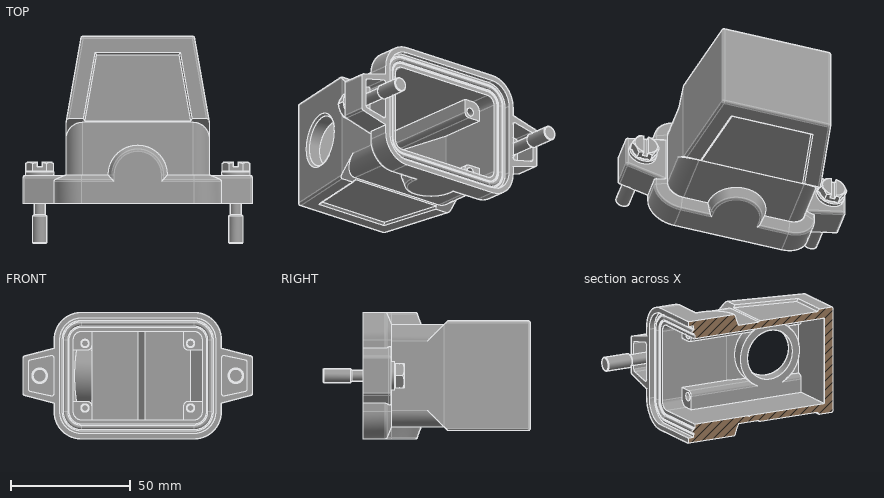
import math

import cadquery as cq


flange_width = 70.0
flange_height = 53.0
flange_corner_radius = 11.5
flange_rim_y = 9.9
flange_top_y = 12.0
flange_edge_fillet = 1.0

body_inset = 5.0
body_width = flange_width - 2 * body_inset
body_height = flange_height - 2 * body_inset
body_corner_radius = 7.0

hood_depth = 70.0
head_height = 46.0
taper_start_y = 34.0
taper_angle = 10.0
head_edge_radius = 1.0
taper_slope = math.tan(math.radians(taper_angle))
head_step = (head_height - body_height) / 2
head_lower_y = taper_start_y + head_step

panel_depth = 1.0
panel_top_y = 63.2
panel_side_margin = 7.0
panel_side_run = 0.8

boss_radius = 12.4
boss_y = flange_top_y
boss_draft = 20.0
boss_edge_fillet = 1.0
boss_root_y = 5.0

recess_inset = 2.35
ledge_y = 2.5
shelf_y = 3.1
gasket_inset = 3.4
gasket_width = 2.9
gasket_thickness = 0.45
gasket_face_y = shelf_y - gasket_thickness
bead_radius = 0.9
bead_inset = gasket_inset + gasket_width / 2

cavity_inset = 8.0
cavity_half_width = flange_width / 2 - cavity_inset
cavity_height = flange_height - 2 * cavity_inset
deep_floor_y = 65.5
floor_step = 3.1
shallow_floor_y = deep_floor_y - floor_step

post_size = 7.8
post_face_y = 12.5
post_corner_radius = 2.0
post_hole_x = 22.05
post_hole_z = 13.5
post_hole_end = 2.8
post_hole_mouth = 3.5
post_hole_depth = 10.0

entry_y = 51.8
entry_radius = 10.6
entry_chamfer = 1.0
sleeve_radius = 14.0
sleeve_end_x = -(cavity_half_width - post_size)

overall_width = 96.0
lug_root_height = 23.0
lug_tip_height = 16.2
lug_top_y = 11.75
lug_edge_fillet = 1.0
lug_wall = 2.3
lug_pocket_depth = 10.0
lug_pocket_root_height = 17.4
lug_pocket_tip_height = 12.8
lug_pocket_corner_radius = 1.0
lug_hole_diameter = 6.5

screw_x = 41.0
screw_tip_y = -16.6
thread_start_y = -4.6
thread_diameter = 6.0
thread_lead_in = 0.6
thread_tip_chamfer = 0.3
shank_diameter = 4.7
collar_diameter = 12.0
collar_top_y = 13.3
hex_across_flats = 10.2
hex_sides = 6
hex_half_side_angle = 180.0 / hex_sides
hex_top_y = 17.4
hex_top_circle_diameter = 9.8
hex_chamfer_angle = 35.0
neck_diameter = 10.0
neck_height = 0.3
hex_base_y = collar_top_y + neck_height
slot_width = 2.0
slot_depth = 2.0


def plane_at(y):
    """Workplane across the hood at depth y: local x is Z, local y is X, normal is +Y."""
    return cq.Workplane("ZX", origin=(0, y, 0))


def rounded_block(height, width, radius, y_start, y_end):
    block = plane_at(y_start).rect(height, width).extrude(y_end - y_start)
    return block.edges("|Y").fillet(radius)


def flange_inset_block(inset, y_start, y_end):
    """Block whose outline is the flange outline moved inwards by inset."""
    return rounded_block(
        flange_height - 2 * inset,
        flange_width - 2 * inset,
        flange_corner_radius - inset,
        y_start,
        y_end,
    )


def head_half_width(y):
    """Half width of the tapered head at depth y."""
    return body_width / 2 - (y - taper_start_y) * taper_slope


def on_both_sides(shape, mirror_plane):
    return shape.union(shape.mirror(mirror_plane))


def plan_prism(points, z_start, z_end):
    """Prism over an outline given in X and Y."""
    return cq.Workplane("XY", origin=(0, 0, z_start)).polyline(points).close().extrude(z_end - z_start)


def turn_about_y(half_profile):
    """Solid of revolution about the Y axis from (depth, radius) points."""
    return cq.Workplane("YZ").polyline(half_profile).close().revolve(360, (0, 0), (1, 0))


def make_flange():
    """Rounded plate with a shoulder that slopes up to the body."""
    flange = flange_inset_block(0, 0, flange_top_y)
    slope_rise = flange_top_y - flange_rim_y
    flange = flange.faces(">Y").edges().chamfer(slope_rise, body_inset)
    below_rim = flange_rim_y / 2
    above_rim = (flange_rim_y + flange_top_y) / 2
    rim = cq.selectors.BoxSelector(
        (-flange_width, below_rim, -flange_height),
        (flange_width, above_rim, flange_height),
    )
    return flange.edges("not(|Y)").edges(rim).fillet(flange_edge_fillet)


def make_body():
    return rounded_block(body_height, body_width, body_corner_radius, 0, taper_start_y)


def make_head():
    """Tapered cable head, with 45 degree undersides that run into the rounded body corners."""
    slope_end_y = taper_start_y - body_corner_radius
    slope_end_z = body_height / 2 - body_corner_radius
    side_profile = [
        (hood_depth, -head_height / 2),
        (hood_depth, head_height / 2),
        (head_lower_y, head_height / 2),
        (slope_end_y, slope_end_z),
        (slope_end_y, -slope_end_z),
        (head_lower_y, -head_height / 2),
    ]
    side_prism = cq.Workplane("YZ").polyline(side_profile).close().extrude(body_width / 2, both=True)
    end_half_width = head_half_width(hood_depth)
    plan = [
        (-body_width / 2, slope_end_y),
        (body_width / 2, slope_end_y),
        (body_width / 2, taper_start_y),
        (end_half_width, hood_depth),
        (-end_half_width, hood_depth),
        (-body_width / 2, taper_start_y),
    ]
    head = side_prism.intersect(plan_prism(plan, -head_height / 2, head_height / 2))
    end_edges = head.faces(">Y").edges()
    side_edges = head.faces("<Z or >Z").edges("not(|X)")
    return head.newObject(end_edges.vals() + side_edges.vals()).fillet(head_edge_radius)


def make_panel_recess():
    """Sunken panel on the +Z head face, with sloping walls; it runs out at the lower end."""
    floor_z = head_height / 2 - panel_depth
    start_y = head_lower_y - panel_depth

    def outline(z, side_inset, top_inset):
        top_y = panel_top_y - top_inset
        bottom = head_half_width(start_y) - panel_side_margin - side_inset
        top = head_half_width(top_y) - panel_side_margin - side_inset
        return [
            cq.Vector(-bottom, start_y, z),
            cq.Vector(bottom, start_y, z),
            cq.Vector(top, top_y, z),
            cq.Vector(-top, top_y, z),
        ]

    floor = cq.Wire.makePolygon(outline(floor_z, panel_side_run, panel_depth), close=True)
    mouth = cq.Wire.makePolygon(outline(head_height / 2, 0, 0), close=True)
    return cq.Workplane(cq.Solid.makeLoft([floor, mouth], True))


def make_boss():
    """Drafted half-round boss on the +Z body face, flush with the flange side."""
    rise = body_inset
    boss = (
        cq.Workplane("XY", origin=(0, 0, body_height / 2))
        .moveTo(-boss_radius, boss_root_y)
        .lineTo(boss_radius, boss_root_y)
        .lineTo(boss_radius, boss_y)
        .threePointArc((0, boss_y + boss_radius), (-boss_radius, boss_y))
        .close()
        .extrude(rise, taper=boss_draft)
    )
    return boss.faces(">Z").edges().fillet(boss_edge_fillet)


def make_mouth_recess():
    """Recess at the mouth, with a narrow outer ledge and a deeper shelf around the cavity."""
    ledge = flange_inset_block(recess_inset, 0, ledge_y)
    return ledge.union(flange_inset_block(gasket_inset, 0, shelf_y))


def make_gasket_strip():
    """Flat strip on the outer part of the shelf."""
    outer = flange_inset_block(gasket_inset, gasket_face_y, shelf_y)
    return outer.cut(flange_inset_block(gasket_inset + gasket_width, gasket_face_y, shelf_y))


def make_gasket_bead():
    """Half-buried round bead running along the middle of the gasket strip."""
    half_height = flange_height / 2 - bead_inset
    half_width = flange_width / 2 - bead_inset
    corner_radius = flange_corner_radius - bead_inset
    z_end = half_height - corner_radius
    x_end = half_width - corner_radius
    bead = cq.Workplane()
    for side in (-1, 1):
        x_bar = cq.Workplane("YZ", origin=(-x_end, 0, side * half_height))
        bead = bead.add(x_bar.circle(bead_radius).extrude(2 * x_end))
        z_bar = cq.Workplane("XY", origin=(side * half_width, 0, -z_end))
        bead = bead.add(z_bar.circle(bead_radius).extrude(2 * z_end))
    corner_centres = [(x_end, z_end), (x_end, -z_end), (-x_end, -z_end), (-x_end, z_end)]
    for quarter, (x, z) in enumerate(corner_centres):
        section = cq.Workplane("YZ").center(0, corner_radius).circle(bead_radius)
        bend = section.revolve(90, (0, -corner_radius), (1, -corner_radius))
        bend = bend.rotate((0, 0, 0), (0, 1, 0), 90 * quarter)
        bead = bead.add(bend.translate((x, 0, z)))
    return bead.combine().translate((0, gasket_face_y, 0))


def make_cavity():
    """Inner space with tapered side walls and a floor in two levels, leaving posts and sleeve."""
    straight = flange_inset_block(cavity_inset, 0, deep_floor_y)

    def wall_x(y):
        return cavity_half_width - (y - taper_start_y) * taper_slope

    plan = [
        (-cavity_half_width, 0),
        (cavity_half_width, 0),
        (cavity_half_width, taper_start_y),
        (wall_x(shallow_floor_y), shallow_floor_y),
        (floor_step, shallow_floor_y),
        (0, deep_floor_y),
        (-wall_x(deep_floor_y), deep_floor_y),
        (-cavity_half_width, taper_start_y),
    ]
    cavity = straight.intersect(plan_prism(plan, -cavity_height / 2, cavity_height / 2))
    return cavity.cut(make_posts()).cut(make_sleeve())


def make_posts():
    """Four posts along the cavity corners, with their inner edges rounded."""
    length = deep_floor_y - post_face_y
    posts = cq.Workplane()
    for x_side in (-1, 1):
        for z_side in (-1, 1):
            x = x_side * (cavity_half_width - post_size / 2)
            z = z_side * (cavity_height / 2 - post_size / 2)
            post = plane_at(post_face_y).center(z, x).rect(post_size, post_size).extrude(length)
            inner_x = "<X" if x_side > 0 else ">X"
            inner_z = "<Z" if z_side > 0 else ">Z"
            posts = posts.add(post.faces(inner_x).edges(inner_z).fillet(post_corner_radius))
    return posts.combine()


def entry_plane():
    """Workplane on the tapered -X wall at the cable entry, with its normal pointing inwards."""
    angle = math.radians(taper_angle)
    return cq.Workplane(
        cq.Plane(
            origin=(-head_half_width(entry_y), entry_y, 0),
            xDir=(0, 0, 1),
            normal=(math.cos(angle), -math.sin(angle), 0),
        )
    )


def make_sleeve():
    """Wall around the cable entry, ending level with the posts."""
    reach = body_width / 2
    sleeve = entry_plane().circle(sleeve_radius).extrude(reach)
    outer_side = cq.Workplane().box(reach, hood_depth, head_height, centered=(False, False, True))
    return sleeve.intersect(outer_side.translate((sleeve_end_x - reach, 0, 0)))


def make_entry_bore():
    bore = entry_plane().circle(entry_radius).extrude(body_width / 2)
    mouth = (
        entry_plane()
        .circle(entry_radius + entry_chamfer)
        .workplane(offset=entry_chamfer)
        .circle(entry_radius)
        .loft()
    )
    return bore.union(mouth)


def make_post_holes():
    """Screw holes in the post faces, narrowing with depth."""
    half_profile = [
        (0, 0),
        (0, post_hole_mouth / 2),
        (post_hole_depth, post_hole_end / 2),
        (post_hole_depth, 0),
    ]
    hole = turn_about_y(half_profile)
    holes = cq.Workplane()
    for x in (-post_hole_x, post_hole_x):
        for z in (-post_hole_z, post_hole_z):
            holes = holes.add(hole.translate((x, post_face_y, z)))
    return holes.combine()


def lug_outline(x_root, x_tip, root_height, tip_height):
    """Trapezoid that narrows from the flange to the lug tip."""
    corners = [
        (-root_height / 2, x_root),
        (-tip_height / 2, x_tip),
        (tip_height / 2, x_tip),
        (root_height / 2, x_root),
    ]
    return plane_at(0).polyline(corners).close()


def make_lug():
    """Screw lug on the +X side, open towards -Y."""
    x_root = flange_width / 2
    x_tip = overall_width / 2
    x_inside = body_width / 2
    side_slope = (lug_root_height - lug_tip_height) / (x_tip - x_root)
    inside_height = lug_root_height + side_slope * (x_root - x_inside)
    lug = lug_outline(x_inside, x_tip, inside_height, lug_tip_height).extrude(lug_top_y)
    tip_edges = lug.faces(">X").edges("|Y")
    top_edges = lug.faces(">Y").edges("not(<X)")
    lug = lug.newObject(tip_edges.vals() + top_edges.vals()).fillet(lug_edge_fillet)
    pocket = lug_outline(x_root, x_tip - lug_wall, lug_pocket_root_height, lug_pocket_tip_height)
    pocket = pocket.extrude(lug_pocket_depth).edges("|Y").fillet(lug_pocket_corner_radius)
    hole = plane_at(0).center(0, screw_x).circle(lug_hole_diameter / 2).extrude(lug_top_y)
    return lug.cut(pocket).cut(hole)


def make_screw():
    """Captive screw on the +X side: chamfered thread, thin shank, collar and slotted hex head."""
    thread_radius = thread_diameter / 2
    shank_radius = shank_diameter / 2
    collar_radius = collar_diameter / 2
    neck_radius = neck_diameter / 2
    half_profile = [
        (screw_tip_y, 0),
        (screw_tip_y, thread_radius - thread_tip_chamfer),
        (screw_tip_y + thread_tip_chamfer, thread_radius),
        (thread_start_y - thread_lead_in, thread_radius),
        (thread_start_y, shank_radius),
        (lug_top_y, shank_radius),
        (lug_top_y, collar_radius),
        (collar_top_y, collar_radius),
        (collar_top_y, neck_radius),
        (hex_base_y, neck_radius),
        (hex_base_y, 0),
    ]
    turned = turn_about_y(half_profile)
    corner_radius = hex_across_flats / 2 / math.cos(math.radians(hex_half_side_angle))
    top_radius = hex_top_circle_diameter / 2
    chamfer_rise = (corner_radius - top_radius) * math.tan(math.radians(hex_chamfer_angle))
    head = plane_at(hex_base_y).transformed(rotate=(0, 0, 90)).polygon(hex_sides, 2 * corner_radius)
    head = head.extrude(hex_top_y - hex_base_y)
    chamfered_envelope = turn_about_y(
        [
            (hex_base_y, 0),
            (hex_base_y, corner_radius),
            (hex_top_y - chamfer_rise, corner_radius),
            (hex_top_y, top_radius),
            (hex_top_y, 0),
        ]
    )
    slot = plane_at(hex_top_y - slot_depth).rect(collar_diameter, slot_width).extrude(slot_depth)
    screw = turned.union(head.intersect(chamfered_envelope).cut(slot))
    return screw.translate((screw_x, 0, 0))


hood = make_flange().union(make_body()).union(make_head())
hood = hood.union(on_both_sides(make_boss(), "XY"))
hood = hood.union(on_both_sides(make_lug(), "YZ"))
hood = hood.cut(on_both_sides(make_panel_recess(), "XY"))
hood = hood.cut(make_cavity()).cut(make_mouth_recess())
hood = hood.union(make_gasket_strip()).union(make_gasket_bead())
hood = hood.cut(make_entry_bore()).cut(make_post_holes())
result = hood.union(on_both_sides(make_screw(), "YZ"))